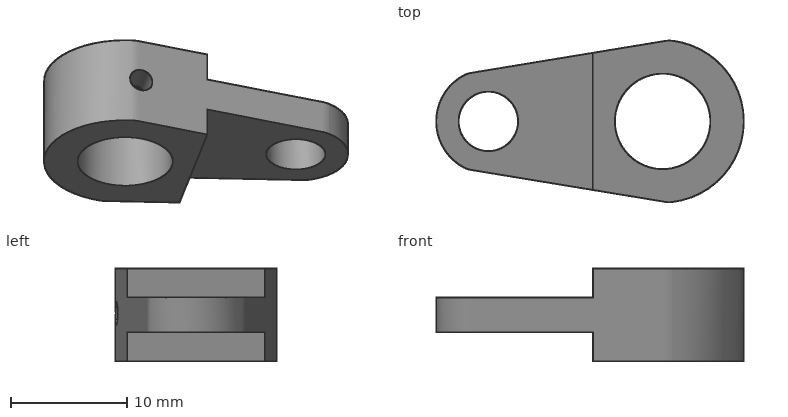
import cadquery as cq

axis_spacing = 15.0
hub_radius = 7.0
hub_height = 8.0
hub_bore_diameter = 8.2
tongue_end_radius = 4.5
tongue_thickness = 3.0
tongue_hole_diameter = 5.1
shoulder_x = -6.0
half_width_at_hub_axis = 6.90
half_width_at_tongue_axis = 4.43
corner_blend_radius = 2.0
cross_hole_diameter = 2.0
cross_hole_z = 0.15

tongue_axis_x = -axis_spacing
flank_slope = (half_width_at_hub_axis - half_width_at_tongue_axis) / axis_spacing


def flank_end(center_x, radius, side):
    """Point where the upper flank crosses an end circle, on its left (-1) or right (+1) side."""
    half_width = half_width_at_hub_axis + flank_slope * center_x
    a = 1 + flank_slope**2
    b = flank_slope * half_width
    c = half_width**2 - radius**2
    offset = (-b + side * (b**2 - a * c) ** 0.5) / a
    return center_x + offset, half_width + flank_slope * offset


def make_plate():
    """Full-height tapered plate with round ends and blended corners."""
    hub_x, hub_y = flank_end(0, hub_radius, 1)
    tongue_x, tongue_y = flank_end(tongue_axis_x, tongue_end_radius, -1)
    outline = (
        cq.Workplane("XY")
        .workplane(offset=-hub_height / 2)
        .moveTo(tongue_x, tongue_y)
        .lineTo(hub_x, hub_y)
        .threePointArc((hub_radius, 0), (hub_x, -hub_y))
        .lineTo(tongue_x, -tongue_y)
        .threePointArc((tongue_axis_x - tongue_end_radius, 0), (tongue_x, tongue_y))
        .close()
    )
    return outline.extrude(hub_height).edges("|Z").fillet(corner_blend_radius)


def thin_tongue(plate):
    """Cut equal steps above and below, leaving the tongue at mid-height."""
    step_height = (hub_height - tongue_thickness) / 2
    step_length = axis_spacing + tongue_end_radius + shoulder_x
    step_center_x = shoulder_x - step_length / 2
    step_center_z = (tongue_thickness + step_height) / 2
    for side in (-1, 1):
        step = cq.Workplane("XY").box(step_length, 2 * hub_radius, step_height)
        plate = plate.cut(step.translate((step_center_x, 0, side * step_center_z)))
    return plate


def vertical_hole(center_x, diameter):
    """Cylinder through the full height of the part."""
    return cq.Workplane("XY").cylinder(hub_height, diameter / 2).translate((center_x, 0, 0))


def cross_hole():
    """Radial cylinder from the bore axis, just above mid-height, out through the +Y wall of the hub."""
    return cq.Workplane("XZ").center(0, cross_hole_z).circle(cross_hole_diameter / 2).extrude(-hub_radius)


result = (
    thin_tongue(make_plate())
    .cut(vertical_hole(0, hub_bore_diameter))
    .cut(vertical_hole(tongue_axis_x, tongue_hole_diameter))
    .cut(cross_hole())
)